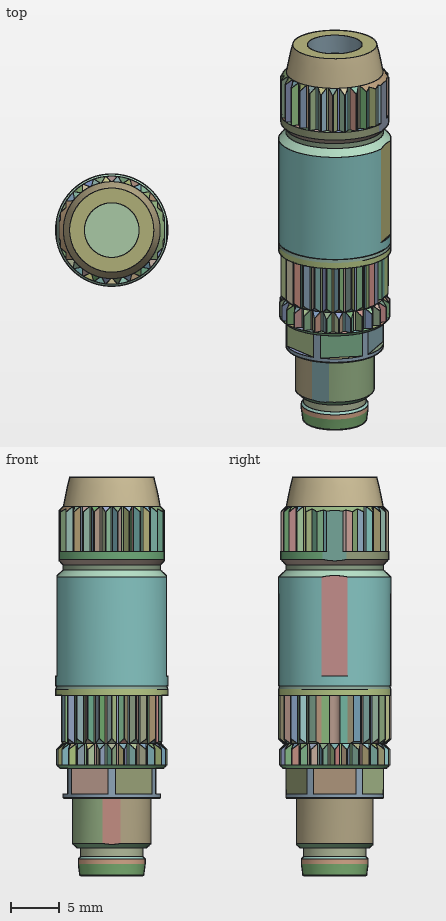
import cadquery as cq
import math

total_height = 40.8
tip_chamfer = 0.12
thread_taper_top = 1.22
thread_top = 1.75
thread_neck_bottom = 2.0
plug_cone_bottom = 2.85
plug_cone_top = 3.35
flange_bottom = 7.9
hex_bottom = 8.4
ring_bottom = 11.0
ring_top = 13.55
barrel_top = 18.5
seam_bottom = 19.1
seam_top = 19.45
body_flat_bottom = 20.45
shoulder_bottom = 30.6
neck_bottom = 31.3
neck_top = 31.82
collar_bottom = 32.4
cap_knurl_bottom = 33.2
cap_knurl_top = 37.82

tip_radius = 6.55 / 2
thread_radius = 6.85 / 2
thread_neck_radius = 6.4 / 2
plug_radius = 8.08 / 2
plug_cone_radius = 7.05 / 2
neck_radius = 10.0 / 2
flange_radius = neck_radius
ring_radius = 11.3 / 2
ring_root_radius = 5.05
body_radius = 11.5 / 2
barrel_root_radius = 5.25
seam_radius = body_radius - 0.12
cap_radius = 11.05 / 2
cap_root_radius = 9.9 / 2
cone_top_radius = 8.6 / 2
cone_bulge = 0.05
flange_chamfer = 0.12
ring_lower_chamfer = 0.35

plug_flat_width = 1.88
plug_flat_distance = math.sqrt(plug_radius**2 - (plug_flat_width / 2) ** 2)
hex_across_flats = 9.0
body_flat_width = 2.6
body_flat_distance = math.sqrt(body_radius**2 - (body_flat_width / 2) ** 2)
cap_flat_distance = 5.4

hole_diameter = 5.6
hole_depth = 1.95

tooth_count = 28
tooth_step = 360 / tooth_count
tooth_land = 0.05
cap_step_count = 2
cap_step_root_fraction = 0.43
groove_floor_width = 0.2

window_half_steps = 2.5
window_radius = 5.45
grip_flat_distance = 4.98
grip_flat_width = 2.7
grip_mouth_width = 3.85
grip_groove_width = 1.05
grip_groove_radius = 0.6

oversize = 16.3


def turned_body():
    """Full solid of revolution, before knurls and flats."""
    ring_chamfer = ring_radius - ring_root_radius
    barrel_chamfer = body_radius - barrel_root_radius
    cap_chamfer = cap_radius - cap_root_radius
    cone_mid_radius = (cap_root_radius + cone_top_radius) / 2 + cone_bulge
    cone_mid_height = (cap_knurl_top + total_height) / 2
    outline = (
        cq.Workplane("XZ")
        .lineTo(tip_radius - tip_chamfer, 0)
        .lineTo(tip_radius, tip_chamfer)
        .lineTo(thread_radius, thread_taper_top)
        .lineTo(thread_radius, thread_top)
        .lineTo(thread_neck_radius, thread_neck_bottom)
        .lineTo(thread_neck_radius, plug_cone_bottom)
        .lineTo(plug_cone_radius, plug_cone_bottom)
        .lineTo(plug_radius, plug_cone_top)
        .lineTo(plug_radius, flange_bottom)
        .lineTo(flange_radius - flange_chamfer, flange_bottom)
        .lineTo(flange_radius, flange_bottom + flange_chamfer)
        .lineTo(flange_radius, ring_bottom)
        .lineTo(ring_radius - ring_lower_chamfer, ring_bottom)
        .lineTo(ring_radius, ring_bottom + ring_lower_chamfer)
        .lineTo(ring_radius, ring_top - ring_chamfer)
        .lineTo(ring_root_radius, ring_top)
        .lineTo(barrel_root_radius, ring_top)
        .lineTo(body_radius, ring_top + barrel_chamfer)
        .lineTo(body_radius, seam_bottom)
        .lineTo(seam_radius, seam_top)
        .lineTo(body_radius, seam_top)
        .lineTo(body_radius, shoulder_bottom)
        .lineTo(neck_radius, neck_bottom)
        .lineTo(neck_radius, neck_top)
        .lineTo(cap_radius, collar_bottom)
        .lineTo(cap_radius, cap_knurl_top - cap_chamfer)
        .lineTo(cap_root_radius, cap_knurl_top)
        .threePointArc((cone_mid_radius, cone_mid_height), (cone_top_radius, total_height))
        .lineTo(0, total_height)
        .close()
    )
    return outline.revolve(360, (0, 0, 0), (0, 1, 0))


def knurl_grooves(root_radius, crest_radius, bottom, top, angles):
    """Straight V grooves with a narrow floor, one at each angle about the axis."""
    half_floor = groove_floor_width / 2
    half_mouth = crest_radius * math.tan(math.radians(tooth_step / 2)) - tooth_land / 2
    overrun = 0.4
    flank_slope = (half_mouth - half_floor) / (crest_radius - root_radius)
    half_outer = half_mouth + flank_slope * overrun
    outer_radius = crest_radius + overrun
    groove = (
        cq.Workplane("XY")
        .workplane(offset=bottom)
        .polyline(
            [
                (root_radius, -half_floor),
                (outer_radius, -half_outer),
                (outer_radius, half_outer),
                (root_radius, half_floor),
            ]
        )
        .close()
        .extrude(top - bottom)
    )
    cutters = cq.Workplane("XY")
    for angle in angles:
        cutters = cutters.add(groove.rotate((0, 0, 0), (0, 0, 1), angle))
    return cutters.combine()


def cap_steps():
    """Grooves beside the +X cap flat, whose outer flanks all face straight along X."""
    plane = cq.Workplane("XY").workplane(offset=cap_knurl_bottom)
    cutters = cq.Workplane("XY")
    for step in range(1, cap_step_count + 1):
        near_angle = math.radians((step - 0.5) * tooth_step)
        far_angle = math.radians((step + 0.5) * tooth_step)
        near_x = cap_radius * math.cos(near_angle)
        near_y = cap_radius * math.sin(near_angle)
        far_x = cap_radius * math.cos(far_angle)
        far_y = cap_radius * math.sin(far_angle)
        root_y = near_y + cap_step_root_fraction * (far_y - near_y)
        groove = (
            plane.moveTo(near_x, near_y)
            .lineTo(far_x, root_y)
            .lineTo(far_x, far_y)
            .lineTo(oversize, far_y)
            .lineTo(oversize, near_y)
            .close()
            .extrude(cap_knurl_top - cap_knurl_bottom)
        )
        cutters = cutters.add(groove).add(groove.mirror("XZ"))
    return cutters.combine()


def side_flats(distance, bottom, top, turn=0):
    """Material outside two opposite planes, facing X before the turn about Z."""
    cutters = cq.Workplane("XY")
    for side in (-1, 1):
        block = (
            cq.Workplane("XY")
            .box(oversize, oversize, top - bottom, centered=(True, True, False))
            .translate((side * (distance + oversize / 2), 0, bottom))
        )
        cutters = cutters.add(block)
    return cutters.combine().rotate((0, 0, 0), (0, 0, 1), turn)


def grip_window():
    """Cutter for the smooth barrel window on the +X side."""
    height = barrel_top - ring_top
    plane = cq.Workplane("XY").workplane(offset=ring_top)

    half_angle = math.radians(window_half_steps * tooth_step)
    sector = (
        plane.lineTo(oversize, -oversize * math.tan(half_angle))
        .lineTo(oversize, oversize * math.tan(half_angle))
        .close()
        .extrude(height)
    )
    window = sector.cut(plane.circle(window_radius).extrude(height))

    mouth_distance = math.sqrt(window_radius**2 - (grip_mouth_width / 2) ** 2)
    recess = (
        plane.moveTo(grip_flat_distance, -grip_flat_width / 2)
        .lineTo(mouth_distance, -grip_mouth_width / 2)
        .lineTo(oversize, -grip_mouth_width / 2)
        .lineTo(oversize, grip_mouth_width / 2)
        .lineTo(mouth_distance, grip_mouth_width / 2)
        .lineTo(grip_flat_distance, grip_flat_width / 2)
        .close()
        .extrude(height)
    )

    groove_rise = math.sqrt(grip_groove_radius**2 - (grip_groove_width / 2) ** 2)
    groove = (
        plane.center(grip_flat_distance + groove_rise, 0)
        .circle(grip_groove_radius)
        .extrude(height)
    )
    return window.union(recess).union(groove)


result = turned_body()

between_crests = [(i + 0.5) * tooth_step for i in range(tooth_count)]
rim_top = ring_bottom + ring_lower_chamfer
result = result.cut(
    knurl_grooves(ring_root_radius, ring_radius, rim_top, ring_top, between_crests)
)

window_edge = window_half_steps * tooth_step
window_cosine = math.cos(math.radians(window_edge - tooth_step / 2))
barrel_angles = [a for a in between_crests if abs(math.cos(math.radians(a))) < window_cosine]
result = result.cut(
    knurl_grooves(barrel_root_radius, body_radius, ring_top, barrel_top, barrel_angles)
)
for turn in (0, 180):
    result = result.cut(grip_window().rotate((0, 0, 0), (0, 0, 1), turn))

half_turn_steps = tooth_count // 2
cap_angles = [
    half_turn * 180 + step * tooth_step
    for half_turn in range(2)
    for step in range(cap_step_count + 1, half_turn_steps - cap_step_count)
]
result = result.cut(
    knurl_grooves(cap_root_radius, cap_radius, cap_knurl_bottom, cap_knurl_top, cap_angles)
)
for turn in (0, 180):
    result = result.cut(cap_steps().rotate((0, 0, 0), (0, 0, 1), turn))
result = result.cut(side_flats(cap_flat_distance, neck_top, cap_knurl_top))

result = result.cut(side_flats(body_flat_distance, body_flat_bottom, neck_bottom))
result = result.cut(side_flats(plug_flat_distance, plug_cone_bottom, flange_bottom, turn=90))

for turn in (0, 60, 120):
    result = result.cut(side_flats(hex_across_flats / 2, hex_bottom, ring_bottom, turn))

result = result.cut(
    cq.Workplane("XY")
    .workplane(offset=total_height - hole_depth)
    .circle(hole_diameter / 2)
    .extrude(hole_depth)
)